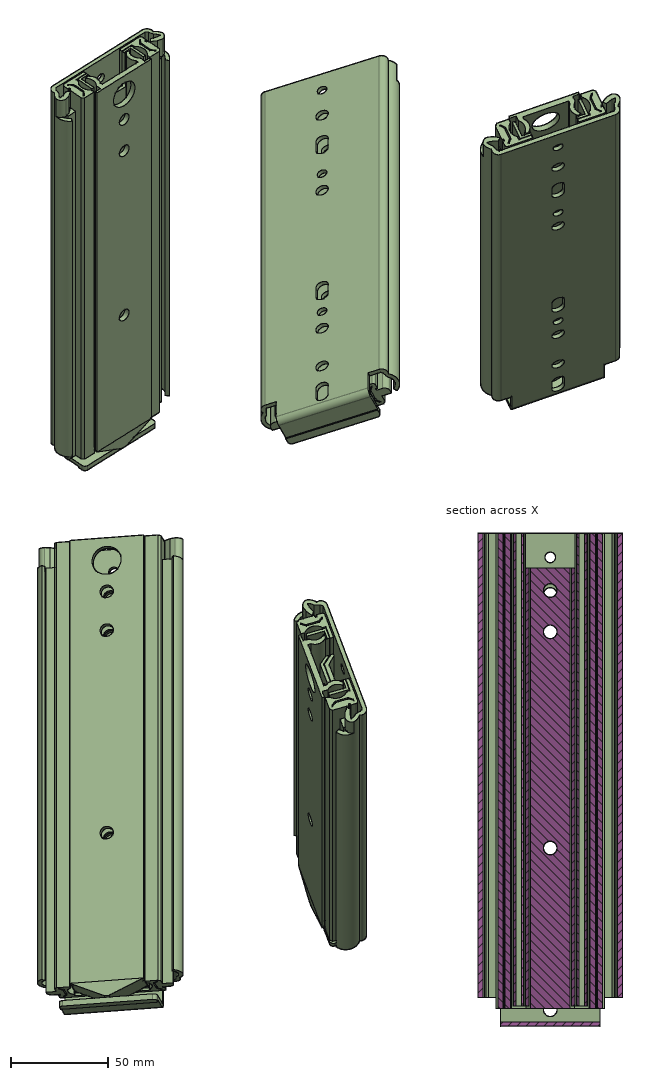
import cadquery as cq
import math

LENGTH = 254.0
DEPTH = 19.8
HALF_WIDTH = 38.0
CUT_DEPTH = 50.8

SHEET = 2.3
OUTER_BOTTOM = 15.5
FLAT_HALF_WIDTH = 31.8
CORNER_WIDTH = 3.5
CORNER_RISE = 3.5
ARCH_RADIUS = 7.5
ARCH_X = 10.8
ARCH_Y = HALF_WIDTH - ARCH_RADIUS
ARCH_START_ANGLE = 143.0
ARCH_END_ANGLE = 32.0
STOP_TAB_HEIGHT = 11.7
TAB_BEND_ANGLE = 105.0
TAB_CLEARANCE = 0.5
TONGUE_HALF_WIDTH = 25.7
LIP_LENGTH = 17.3
LIP_STEP_X = 12.7
LIP_STEP = 0.8
LIP_BEND_RADIUS = 3.3
LIP_CORNER_RADIUS = 2.0

INTERMEDIATE_BOTTOM = 10.0
INNER_BOTTOM = 11.2
SHOULDER_Y = 28.0
VALLEY_DEPTH = 1.0
SHOULDER_LEFT = 3.0
SHOULDER_RIGHT = 18.3
SHOULDER_ROUND = 1.3
SHOULDER_GAP = 0.8
NOSE_LEFT = 8.1
NOSE_RIGHT = 13.0
NOSE_Y = 33.3
NOSE_ROUND = 3.0
WEB_LEFT = 7.0
WEB_RIGHT = WEB_LEFT + SHEET
LEG_RIGHT = 4.8
LEG_OUTER_Y = 11.7
LEG_INNER_Y = 12.5
WEB_OUTER_Y = 7.5
WEB_INNER_Y = 8.5
DOME_LEFT = 6.5
DOME_RIGHT = 16.3
DOME_BASE_Y = 19.8
DOME_TOP_Y = 22.0
GAP_LEVEL_Y = 24.1
GAP_END_Y = 26.0
GAP_LEVEL_RIGHT = 14.2
GAP_RIGHT = 16.5
RACE_X = 11.5
RETAINER_LEG_LEFT = 5.0
RETAINER_LEG_RIGHT = 6.4
RETAINER_WEB_LEFT = 9.7
RETAINER_WEB_RIGHT = 11.5
RETAINER_OUTER_SLOPE = (8.6, 12.7)
RETAINER_INNER_SLOPE = (9.1, 13.5)
RETAINER_BAR_RIGHT = 15.7
RETAINER_BAR_BOTTOM_Y = 17.5
RETAINER_BAR_TOP_Y = 19.0
INNER_EDGE_THICKNESS = 1.3
RACE_HALF_OPENING = 4.0
RACE_BACK_LEFT = 6.9
RACE_BACK_RIGHT = 15.2
RACE_RIM_Y = 15.7
RACE_FLOOR_Y = 14.0
RACE_BACK_Y = 11.5
RACE_ROOT_Y = 12.7
INNER_WALL_LEFT = 16.8
INNER_EDGE_Y = 19.3
WEB_NOTCH_HALF_WIDTH = 12.7
WEB_NOTCH_DEPTH = 17.8
BUMPER_LEFT = 8.0
BUMPER_TOP_HALF_WIDTH = INNER_EDGE_Y
BUMPER_TIP_HALF_WIDTH = 1.3

SMALL_HOLE = 5.3
LARGE_HOLE = 6.9
SLOT_LENGTH = 13.2
ACCESS_HOLE = 15.2
SMALL_HOLE_HEIGHTS = [241.5, 178.0, 73.2]
LARGE_HOLE_HEIGHTS = [222.5, 165.4, 60.5, 31.8]
SLOT_TOPS = [206.8, 95.8, 19.0]
MOUNTING_HOLE_HEIGHTS = [224.5] + [top - LARGE_HOLE / 2 for top in SLOT_TOPS[:2]]


def arch_point(radius, angle):
    """Point at the given angle in degrees on a circle about the arch centre."""
    turn = math.radians(angle)
    return (ARCH_X + radius * math.cos(turn), ARCH_Y + radius * math.sin(turn))


def mirrored(half):
    """Join a half profile body with its mirror image about the Y = 0 plane."""
    return half.union(half.mirror("XZ")).clean()


def extruded(outline, bottom, top):
    """Close an outline drawn in the XY plane and extrude it between two heights."""
    return outline.close().extrude(top - bottom).translate((0, 0, bottom))


def round_cut(diameter, heights):
    """Round cutters along X at the given heights on the centre line."""
    points = [(0, height) for height in heights]
    return cq.Workplane("YZ").pushPoints(points).circle(diameter / 2).extrude(CUT_DEPTH)


def slot_cut():
    """Upright slot cutters along X."""
    points = [(0, top - SLOT_LENGTH / 2) for top in SLOT_TOPS]
    return cq.Workplane("YZ").pushPoints(points).slot2D(SLOT_LENGTH, LARGE_HOLE, 90).extrude(SHEET)


def cut_mounting_holes(body):
    """Cut the holes that line up through the intermediate rail, retainer and inner rail."""
    return body.cut(round_cut(LARGE_HOLE, MOUNTING_HOLE_HEIGHTS))


def wall_and_corner():
    """Outside of the outer rail from the centre line to the start of its arch."""
    corner_y = FLAT_HALF_WIDTH + CORNER_RISE
    middle = math.sqrt(0.5)
    bulge = (CORNER_WIDTH * (1 - middle), FLAT_HALF_WIDTH + CORNER_RISE * middle)
    return (
        cq.Workplane("XY")
        .moveTo(0, 0)
        .lineTo(0, FLAT_HALF_WIDTH)
        .threePointArc(bulge, (CORNER_WIDTH, corner_y))
        .lineTo(*arch_point(ARCH_RADIUS, ARCH_START_ANGLE))
    )


def back_to_wall(outline):
    """Inside of the outer rail from the start of its arch to the centre line."""
    return (
        outline.lineTo(CORNER_WIDTH, FLAT_HALF_WIDTH + SHEET / 2)
        .lineTo(SHEET, FLAT_HALF_WIDTH)
        .lineTo(SHEET, 0)
    )


def make_arch_section():
    """Half of the outer rail below the stop tab, with the full arched flange."""
    inside = ARCH_RADIUS - SHEET
    outline = (
        wall_and_corner()
        .threePointArc(arch_point(ARCH_RADIUS, 90), arch_point(ARCH_RADIUS, ARCH_END_ANGLE))
        .lineTo(*arch_point(inside, ARCH_END_ANGLE))
        .threePointArc(arch_point(inside, 90), arch_point(inside, ARCH_START_ANGLE))
    )
    return extruded(back_to_wall(outline), OUTER_BOTTOM, LENGTH - STOP_TAB_HEIGHT)


def make_stop_tab_section():
    """Half of the outer rail's top end, where the flange is bent inward as a stop tab."""
    inside = ARCH_RADIUS - SHEET
    tab_tip = SHOULDER_Y + TAB_CLEARANCE
    outline = (
        wall_and_corner()
        .threePointArc(arch_point(ARCH_RADIUS, TAB_BEND_ANGLE + 15), arch_point(ARCH_RADIUS, TAB_BEND_ANGLE))
        .threePointArc((ARCH_X + 0.5, ARCH_Y + 6.4), (ARCH_X + 1.5, ARCH_Y + 3.8))
        .lineTo(ARCH_X + 0.8, ARCH_Y + 1.0)
        .lineTo(ARCH_X - 1.3, tab_tip)
        .lineTo(ARCH_X - 2.8, tab_tip + 1.5)
        .lineTo(ARCH_X - 1.5, ARCH_Y + 3.0)
        .lineTo(*arch_point(inside, TAB_BEND_ANGLE))
        .threePointArc(arch_point(inside, TAB_BEND_ANGLE + 15), arch_point(inside, ARCH_START_ANGLE))
    )
    return extruded(back_to_wall(outline), LENGTH - STOP_TAB_HEIGHT, LENGTH)


def make_tongue():
    """Bottom tongue of the outer rail, bent into a lip with a lowered end."""
    tongue = (
        cq.Workplane("XZ")
        .moveTo(0, OUTER_BOTTOM)
        .lineTo(0, LIP_STEP + LIP_BEND_RADIUS)
        .radiusArc((LIP_BEND_RADIUS, LIP_STEP), -LIP_BEND_RADIUS)
        .lineTo(LIP_STEP_X, LIP_STEP)
        .lineTo(LIP_STEP_X, 0)
        .lineTo(LIP_LENGTH, 0)
        .lineTo(LIP_LENGTH, LIP_STEP + SHEET)
        .lineTo(SHEET, LIP_STEP + SHEET)
        .lineTo(SHEET, OUTER_BOTTOM)
        .close()
        .extrude(TONGUE_HALF_WIDTH, both=True)
    )
    return tongue.edges("|Z and >X").fillet(LIP_CORNER_RADIUS)


def make_outer_rail():
    rail = mirrored(make_arch_section().union(make_stop_tab_section())).union(make_tongue())
    wall_holes = round_cut(SMALL_HOLE, SMALL_HOLE_HEIGHTS).union(round_cut(LARGE_HOLE, LARGE_HOLE_HEIGHTS))
    return rail.cut(wall_holes).cut(slot_cut())


def make_intermediate_rail():
    """Offset web with two shoulders whose noses run inside the outer rail's arches."""
    nose_round_offset = NOSE_ROUND * (1 - math.sqrt(0.5))
    valley_y = SHOULDER_Y - VALLEY_DEPTH
    outline = (
        cq.Workplane("XY")
        .moveTo(WEB_LEFT, 0)
        .lineTo(WEB_LEFT, WEB_OUTER_Y)
        .lineTo(SHOULDER_LEFT, LEG_OUTER_Y)
        .lineTo(SHOULDER_LEFT, SHOULDER_Y - SHOULDER_ROUND)
        .radiusArc((SHOULDER_LEFT + SHOULDER_ROUND, SHOULDER_Y), SHOULDER_ROUND)
        .lineTo(WEB_LEFT, SHOULDER_Y)
        .lineTo(WEB_LEFT, valley_y)
        .lineTo(NOSE_LEFT, valley_y)
        .lineTo(NOSE_LEFT, NOSE_Y - NOSE_ROUND)
        .threePointArc(
            (NOSE_LEFT + nose_round_offset, NOSE_Y - nose_round_offset),
            (NOSE_LEFT + NOSE_ROUND, NOSE_Y),
        )
        .lineTo(NOSE_RIGHT, NOSE_Y)
        .lineTo(NOSE_RIGHT, SHOULDER_Y)
        .lineTo(SHOULDER_RIGHT - SHOULDER_ROUND, SHOULDER_Y)
        .lineTo(SHOULDER_RIGHT, SHOULDER_Y - SHOULDER_ROUND)
        .lineTo(SHOULDER_RIGHT, DOME_BASE_Y)
        .lineTo(DOME_RIGHT, DOME_BASE_Y)
        .threePointArc((RACE_X, DOME_TOP_Y), (DOME_LEFT, DOME_BASE_Y))
        .lineTo(LEG_RIGHT, DOME_BASE_Y)
        .lineTo(LEG_RIGHT, LEG_INNER_Y)
        .lineTo(WEB_RIGHT, WEB_INNER_Y)
        .lineTo(WEB_RIGHT, 0)
    )
    rail = mirrored(extruded(outline, INTERMEDIATE_BOTTOM, LENGTH).cut(make_shoulder_gap()))
    return cut_mounting_holes(rail.cut(make_nose_relief()).cut(make_web_notch()))


def make_shoulder_gap():
    """Narrow gap under the shoulder, level in the middle and rising at both ends."""
    upper = [
        (LEG_RIGHT, GAP_END_Y),
        (WEB_LEFT, GAP_LEVEL_Y),
        (GAP_LEVEL_RIGHT, GAP_LEVEL_Y),
        (GAP_RIGHT, GAP_END_Y),
    ]
    lower = [(x, y - SHOULDER_GAP) for x, y in reversed(upper)]
    return extruded(cq.Workplane("XY").polyline(upper + lower), INTERMEDIATE_BOTTOM, LENGTH)


def make_nose_relief():
    """Space above both noses that leaves room for the stop tabs."""
    relief = cq.Workplane("XY").box(DEPTH, 2 * HALF_WIDTH, STOP_TAB_HEIGHT, centered=(False, True, False))
    core = cq.Workplane("XY").box(DEPTH, 2 * SHOULDER_Y, STOP_TAB_HEIGHT, centered=(False, True, False))
    return relief.cut(core).translate((0, 0, LENGTH - STOP_TAB_HEIGHT))


def make_web_notch():
    """Opening in the top of the webs that uncovers the inner rail's wall."""
    notch = cq.Workplane("XY").box(
        DEPTH, 2 * WEB_NOTCH_HALF_WIDTH, WEB_NOTCH_DEPTH, centered=(False, True, False)
    )
    return notch.translate((0, 0, LENGTH - WEB_NOTCH_DEPTH))


def make_ball_retainer():
    """Bent strip whose two flanges lie between the intermediate and inner rail races."""
    outline = (
        cq.Workplane("XY")
        .moveTo(RETAINER_WEB_LEFT, 0)
        .lineTo(RETAINER_WEB_LEFT, RETAINER_OUTER_SLOPE[0])
        .lineTo(RETAINER_LEG_LEFT, RETAINER_OUTER_SLOPE[1])
        .lineTo(RETAINER_LEG_LEFT, RETAINER_BAR_TOP_Y)
        .lineTo(RETAINER_BAR_RIGHT, RETAINER_BAR_TOP_Y)
        .lineTo(RETAINER_BAR_RIGHT, RETAINER_BAR_BOTTOM_Y)
        .lineTo(RETAINER_LEG_RIGHT, RETAINER_BAR_BOTTOM_Y)
        .lineTo(RETAINER_LEG_RIGHT, RETAINER_INNER_SLOPE[1])
        .lineTo(RETAINER_WEB_RIGHT, RETAINER_INNER_SLOPE[0])
        .lineTo(RETAINER_WEB_RIGHT, 0)
    )
    retainer = mirrored(extruded(outline, INNER_BOTTOM, LENGTH))
    return cut_mounting_holes(retainer.cut(make_web_notch()))


def make_inner_rail():
    """Flat wall with a bowl-shaped ball race along each edge."""
    outline = (
        cq.Workplane("XY")
        .moveTo(DEPTH, 0)
        .lineTo(DEPTH, INNER_EDGE_Y)
        .lineTo(DEPTH - INNER_EDGE_THICKNESS, INNER_EDGE_Y)
        .lineTo(DEPTH - INNER_EDGE_THICKNESS, RACE_RIM_Y)
        .lineTo(RACE_X + RACE_HALF_OPENING, RACE_RIM_Y)
        .threePointArc((RACE_X, RACE_FLOOR_Y), (RACE_X - RACE_HALF_OPENING, RACE_RIM_Y))
        .lineTo(RACE_BACK_LEFT, RACE_FLOOR_Y)
        .threePointArc((RACE_X, RACE_BACK_Y), (RACE_BACK_RIGHT, RACE_ROOT_Y))
        .lineTo(INNER_WALL_LEFT, RACE_ROOT_Y)
        .lineTo(INNER_WALL_LEFT, 0)
    )
    rail = mirrored(extruded(outline, INNER_BOTTOM, LENGTH))
    return cut_mounting_holes(rail).cut(round_cut(ACCESS_HOLE, SMALL_HOLE_HEIGHTS[:1]))


def make_bumper():
    """Wedge between the inner rail's lower end and the lip, narrowing downward."""
    tip_z = LIP_STEP + SHEET
    corners = [
        (-BUMPER_TOP_HALF_WIDTH, INNER_BOTTOM),
        (-BUMPER_TIP_HALF_WIDTH, tip_z),
        (BUMPER_TIP_HALF_WIDTH, tip_z),
        (BUMPER_TOP_HALF_WIDTH, INNER_BOTTOM),
    ]
    wedge = cq.Workplane("YZ").workplane(offset=BUMPER_LEFT).polyline(corners).close()
    return wedge.extrude(DEPTH - BUMPER_LEFT)


outer_rail = make_outer_rail()
intermediate_rail = make_intermediate_rail()
ball_retainer = make_ball_retainer()
inner_rail = make_inner_rail()
bumper = make_bumper().cut(intermediate_rail)

result = cq.Compound.makeCompound(
    [
        outer_rail.solids().val(),
        intermediate_rail.solids().val(),
        ball_retainer.solids().val(),
        inner_rail.solids().val(),
        bumper.solids().val(),
    ]
)